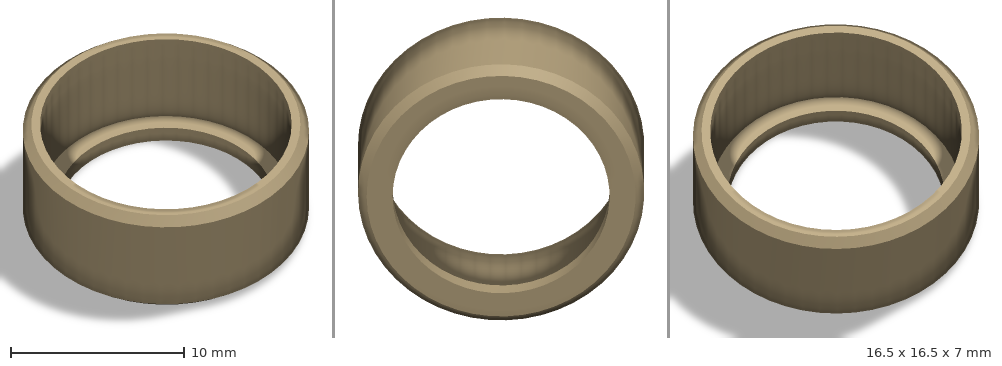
import cadquery as cq

outer_diameter = 16.5
bore_diameter = 14.5
lip_diameter = 12.5
height = 7.0
lip_thickness = 1.0
edge_chamfer = 0.5


def ring_body():
    """Solid cylinder with both outer rims chamfered."""
    cylinder = cq.Workplane("XY").circle(outer_diameter / 2).extrude(height)
    return cylinder.edges("%CIRCLE").chamfer(edge_chamfer)


def lip_opening():
    """Through hole that leaves the inward lip at the bottom."""
    return cq.Workplane("XY").circle(lip_diameter / 2).extrude(height)


def main_bore():
    """Wider bore from the top face down to the lip."""
    bore_depth = height - lip_thickness
    return (
        cq.Workplane("XY")
        .workplane(offset=lip_thickness)
        .circle(bore_diameter / 2)
        .extrude(bore_depth)
    )


result = ring_body().cut(lip_opening()).cut(main_bore())